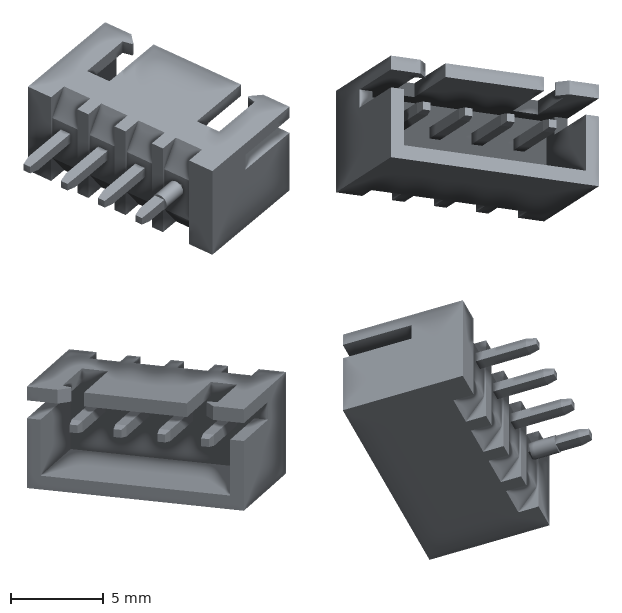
import cadquery as cq

WIDTH = 12.4
DEPTH = 7.0
HEIGHT = 5.75
WALL = 0.78
CAVITY_DEPTH = 5.0

PIN_COUNT = 4
PIN_PITCH = 2.5
PIN_SIZE = 0.63
PIN_TIP_SIZE = 0.45
PIN_TIP_LENGTH = 0.58
PIN_TAIL = 3.4
PIN_END_RECESS = 0.66
PIN_DROP = 2.34
COLLAR_DIAMETER = 0.97
COLLAR_LENGTH = 1.49

SLOT_DEPTH = 4.0
SIDE_SLOT_BOTTOM = 1.8
WINDOW_OFFSET = 1.76
WINDOW_WIDTH = 1.5
HOOK_REACH = 0.56
HOOK_TIP_FLAT = 0.1
HOOK_LENGTH = 0.79

RECESS_WIDTH = 1.76
RECESS_EDGE_DEPTH = 1.18
RECESS_LAND_DEPTH = 0.12
RECESS_SLOPE_HEIGHT = 1.5

top = HEIGHT / 2
pin_z = top - PIN_DROP
pin_xs = [(i - (PIN_COUNT - 1) / 2) * PIN_PITCH for i in range(PIN_COUNT)]


def block(x_range, y_range, z_range):
    """Axis-aligned box given by its limits."""
    (x0, x1), (y0, y1), (z0, z1) = x_range, y_range, z_range
    return cq.Workplane("XY").box(x1 - x0, y1 - y0, z1 - z0, centered=False).translate((x0, y0, z0))


def make_shell():
    """Box with a cavity open at +Y."""
    outer = block((-WIDTH / 2, WIDTH / 2), (0, DEPTH), (-top, top))
    half_cavity = WIDTH / 2 - WALL
    cavity = block(
        (-half_cavity, half_cavity),
        (DEPTH - CAVITY_DEPTH, DEPTH),
        (WALL - top, top - WALL),
    )
    return outer.cut(cavity)


def side_slots():
    """One slot through both side walls, just under the top wall."""
    return block(
        (-WIDTH / 2, WIDTH / 2),
        (DEPTH - SLOT_DEPTH, DEPTH),
        (top - SIDE_SLOT_BOTTOM, top - WALL),
    )


def latch_window():
    """Top-wall window at the -X end, with its outline stepping around the arm's hook."""
    outer_x = WINDOW_OFFSET - WIDTH / 2
    inner_x = outer_x + WINDOW_WIDTH
    outline = [
        (inner_x, DEPTH),
        (inner_x, DEPTH - SLOT_DEPTH),
        (outer_x, DEPTH - SLOT_DEPTH),
        (outer_x, DEPTH - HOOK_LENGTH),
        (outer_x + HOOK_REACH, DEPTH - HOOK_REACH - HOOK_TIP_FLAT),
        (outer_x + HOOK_REACH, DEPTH - HOOK_REACH),
        (outer_x, DEPTH),
    ]
    return cq.Workplane("XY").workplane(offset=top - WALL).polyline(outline).close().extrude(WALL)


def pin_recess(x):
    """Recess in the -Y face, flat around the pin and deepening toward the top and bottom."""
    land_z = top - RECESS_SLOPE_HEIGHT
    profile = [
        (0, -top),
        (RECESS_EDGE_DEPTH, -top),
        (RECESS_LAND_DEPTH, -land_z),
        (RECESS_LAND_DEPTH, land_z),
        (RECESS_EDGE_DEPTH, top),
        (0, top),
    ]
    return (
        cq.Workplane("YZ")
        .workplane(offset=x - RECESS_WIDTH / 2)
        .polyline(profile)
        .close()
        .extrude(RECESS_WIDTH)
    )


def pin_tip(x, y_base, direction):
    """Tapered pin end growing from y_base along +Y (direction 1) or -Y (direction -1)."""
    return (
        cq.Workplane(cq.Plane((x, y_base, pin_z), (1, 0, 0), (0, direction, 0)))
        .rect(PIN_SIZE, PIN_SIZE)
        .workplane(offset=PIN_TIP_LENGTH)
        .rect(PIN_TIP_SIZE, PIN_TIP_SIZE)
        .loft(ruled=True)
    )


def pin(x):
    """Square pin tapered at both ends."""
    half = PIN_SIZE / 2
    y_outer = PIN_TIP_LENGTH - PIN_TAIL
    y_inner = DEPTH - PIN_END_RECESS - PIN_TIP_LENGTH
    shank = block((x - half, x + half), (y_outer, y_inner), (pin_z - half, pin_z + half))
    return shank.union(pin_tip(x, y_outer, -1)).union(pin_tip(x, y_inner, 1))


def collar(x):
    """Round collar on a pin, starting level with the -Y face."""
    plane = cq.Plane((x, 0, pin_z), (1, 0, 0), (0, -1, 0))
    return cq.Workplane(plane).circle(COLLAR_DIAMETER / 2).extrude(COLLAR_LENGTH)


window = latch_window()
result = make_shell().cut(side_slots()).cut(window).cut(window.mirror("YZ"))
for pin_x in pin_xs:
    result = result.cut(pin_recess(pin_x)).union(pin(pin_x))
result = result.union(collar(pin_xs[-1]))